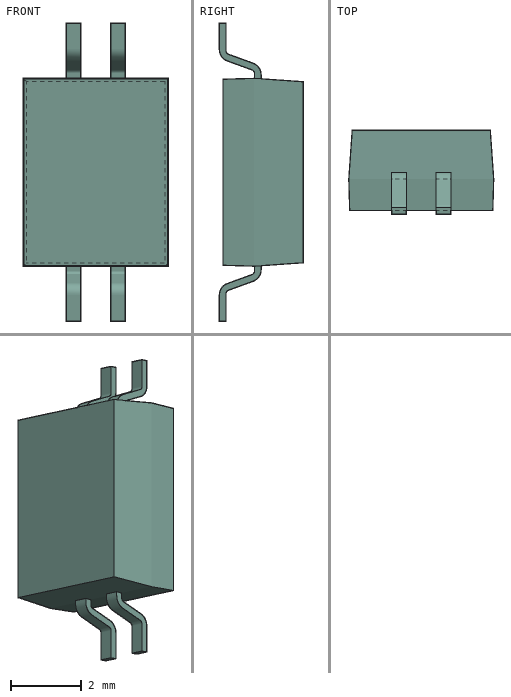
import cadquery as cq
import math

body_width = 4.14
body_length = 5.36
body_front = 0.1
parting_y = 1.0
body_back = 2.4
rim_thickness = 0.05
front_inset = 0.025
back_inset = 0.09

overall_length = 8.5
lead_pitch = 1.27
lead_width = 0.42
lead_thickness = 0.195
shank_back = parting_y + lead_thickness
slope_angle = 20
heel_z = 3.255
inner_bend_radius = 0.1
outer_bend_radius = 0.36
lead_embed = 0.255


def body_section(y, inset):
    """Rectangular body section parallel to XZ, inset from the parting outline."""
    plane = cq.Plane(origin=(0, y, 0), xDir=(1, 0, 0), normal=(0, 1, 0))
    return cq.Workplane(plane).rect(body_width - 2 * inset, body_length - 2 * inset)


def drafted_half(y, inset):
    """Half of the body, tapering from the parting plane to a smaller section."""
    parting_outline = body_section(parting_y, 0).val()
    end_outline = body_section(y, inset).val()
    return cq.Workplane(cq.Solid.makeLoft([parting_outline, end_outline], True))


def make_body():
    rim_y = body_back - rim_thickness
    front_half = drafted_half(body_front, front_inset)
    back_half = drafted_half(rim_y, back_inset)
    rim = body_section(rim_y, back_inset).extrude(rim_thickness)
    return front_half.union(back_half).union(rim)


def make_lead(x):
    """Upper lead centred at x: shank, sloping run and foot with rounded bends."""
    slope = math.tan(math.radians(slope_angle))
    rise = lead_thickness / math.cos(math.radians(slope_angle))
    root_z = body_length / 2 - lead_embed
    tip_z = overall_length / 2
    inner_heel = (lead_thickness, heel_z + rise - lead_thickness * slope)
    inner_knee = (parting_y, heel_z - parting_y * slope)
    outer_knee = (shank_back, heel_z + rise - shank_back * slope)
    outer_heel = (0, heel_z)
    outline = [
        (0, tip_z),
        (lead_thickness, tip_z),
        inner_heel,
        outer_knee,
        (shank_back, root_z),
        (parting_y, root_z),
        inner_knee,
        outer_heel,
    ]
    side_plane = cq.Workplane("YZ", origin=(x - lead_width / 2, 0, 0))
    lead = side_plane.polyline(outline).close().extrude(lead_width)
    for corners, radius in (
        ((inner_heel, inner_knee), inner_bend_radius),
        ((outer_heel, outer_knee), outer_bend_radius),
    ):
        for y, z in corners:
            bend_edge = cq.selectors.NearestToPointSelector((x, y, z))
            lead = lead.edges("|X").edges(bend_edge).fillet(radius)
    return lead


result = make_body()
for side in (-1, 1):
    upper_lead = make_lead(side * lead_pitch / 2)
    result = result.union(upper_lead).union(upper_lead.mirror("XY"))